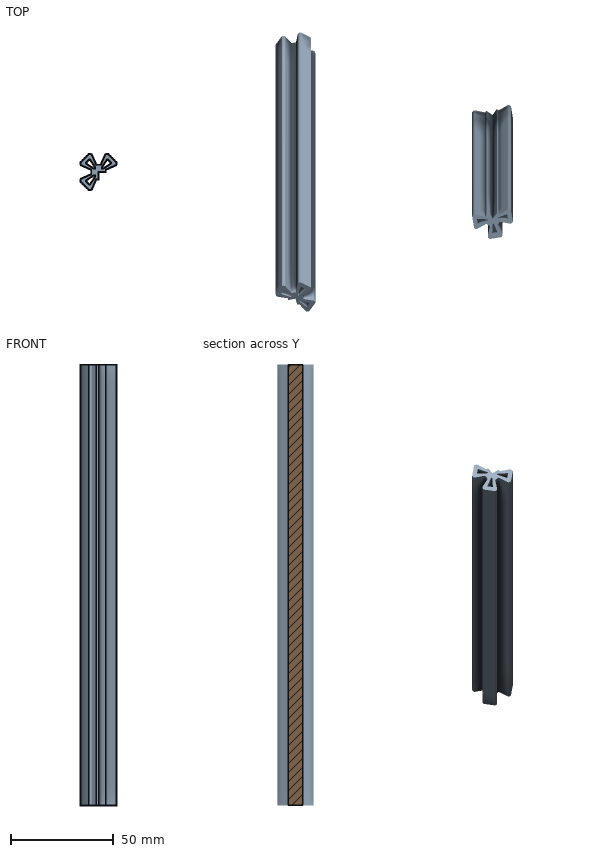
import cadquery as cq
import math

length = 215.0
half_width = 8.8
tip_radius = 1.0
tip_flat_start = 4.0
tip_flat_end = 4.7
slot_floor = 3.7
slot_half_floor = 1.0

cavity_tip = (1.61, 1.61)
cavity_shoulder = (1.61, 2.2)
cavity_outer = (4.3, 6.2)


def mirrored(point):
    """Reflect a point across the finger diagonal y = x."""
    return (point[1], point[0])


def finger_outline():
    """Outline of the finger in the +X +Y quadrant, including its share of the core."""
    center_x = tip_flat_start
    center_y = half_width - tip_radius

    floor_corner = (slot_half_floor, slot_floor)
    run_x = center_x - slot_half_floor
    run_y = center_y - slot_floor
    wall_angle = math.atan2(run_y, run_x) + math.asin(tip_radius / math.hypot(run_x, run_y))

    def on_tip(angle):
        return (
            center_x + tip_radius * math.cos(angle),
            center_y + tip_radius * math.sin(angle),
        )

    wall_end = on_tip(wall_angle + math.pi / 2)
    round_middle = on_tip((wall_angle + math.pi) / 2)
    round_end = on_tip(math.pi / 2)
    crease = (tip_flat_end, half_width)
    return (
        cq.Workplane("XY")
        .moveTo(0, 0)
        .lineTo(0, slot_floor)
        .lineTo(*floor_corner)
        .lineTo(*wall_end)
        .threePointArc(round_middle, round_end)
        .lineTo(*crease)
        .lineTo(*mirrored(crease))
        .lineTo(*mirrored(round_end))
        .threePointArc(mirrored(round_middle), mirrored(wall_end))
        .lineTo(*mirrored(floor_corner))
        .lineTo(slot_floor, 0)
        .close()
    )


def hollow_finger():
    """One finger with its cavity running the full length."""
    cavity_points = [
        cavity_tip,
        cavity_shoulder,
        cavity_outer,
        mirrored(cavity_outer),
        mirrored(cavity_shoulder),
    ]
    cavity = cq.Workplane("XY").polyline(cavity_points).close().extrude(length)
    return finger_outline().extrude(length).cut(cavity)


finger = hollow_finger()
result = finger
for turn in (90, 180):
    result = result.union(finger.rotate((0, 0, 0), (0, 0, 1), turn))
result = result.clean()